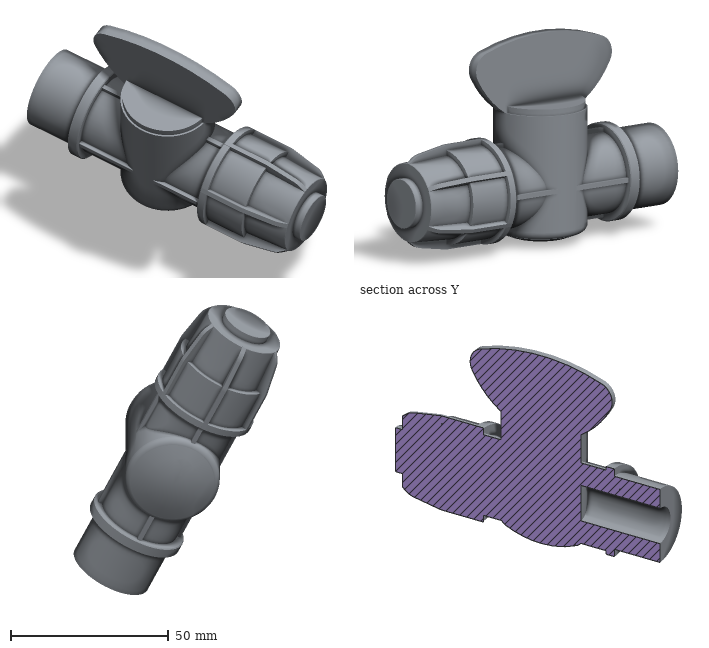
import cadquery as cq
import math


OVERALL_LENGTH = 99.0
OVERALL_HEIGHT = 67.7

SPIGOT_END_X = -44.5
PIPE_DIA = 26.44
BORE_DIA = 12.59

EDGE_CHAMFER = 0.3
FINE_CHAMFER = 0.15

COLLAR_DIA = 31.73
COLLAR_START_X = -27.5
COLLAR_LENGTH = 3.4

PIPE_RIB_RADIUS = 14.57
PIPE_RIB_WIDTH = 1.5
PIPE_RIB_COUNT = 4

STEM_DIA = 30.0
STEM_TOP_Z = 24.6
STEM_BOTTOM_Z = -15.8
STEM_FILLET = 2.4
DOME_DIA = 26.6
DOME_HEIGHT = 2.9
CAP_DIA = 28.8
CAP_HEIGHT = 2.15

HANDLE_THICKNESS = 4.0
HANDLE_TOP_Z = STEM_BOTTOM_Z - DOME_HEIGHT + OVERALL_HEIGHT
HANDLE_TOP_RADIUS = 67.7
HANDLE_TOP_ANGLE = 19.5
HANDLE_CORNER_RADIUS = 6.0
HANDLE_CORNER_LOW_ANGLE = -27.3

NUT_START_X = 21.45
NUT_END_X = 51.9
NUT_FLANGE_DIA = 34.0
NUT_FLANGE_LENGTH = 2.45
NUT_BODY_RADIUS = 15.3
NUT_STEP_X = 37.3
NUT_TAPER_START_RADIUS = 13.6
NUT_TAPER_END_RADIUS = 12.75

GRIP_COUNT = 6
GRIP_WIDTH = 1.5
GRIP_RADIUS = NUT_FLANGE_DIA / 2
GRIP_BEND_X = 37.4
GRIP_NOSE_X = 49.05
GRIP_NOSE_RADIUS = 14.95
GRIP_BLEND_RADIUS = 6.0

TAIL_DIA = 16.0
TAIL_END_X = SPIGOT_END_X + OVERALL_LENGTH


def x_cylinder(diameter, start_x, end_x):
    """Cylinder on the pipe axis between two X positions."""
    return cq.Workplane("YZ", origin=(start_x, 0, 0)).circle(diameter / 2).extrude(end_x - start_x)


def around_pipe(shape, count):
    """Copies of a shape spaced evenly about the pipe axis."""
    copies = cq.Workplane("XY")
    for index in range(count):
        angle = index * 360 / count
        copies = copies.add(shape.rotate((0, 0, 0), (1, 0, 0), angle).vals())
    return copies.combine()


def make_pipe():
    """Solid pipe from the spigot end to the nut, with its collar."""
    pipe = x_cylinder(PIPE_DIA, SPIGOT_END_X, NUT_START_X)
    collar = x_cylinder(COLLAR_DIA, COLLAR_START_X, COLLAR_START_X + COLLAR_LENGTH)
    return pipe.union(collar.faces(">X").chamfer(EDGE_CHAMFER))


def make_pipe_ribs():
    """Thin ribs on four sides of the pipe, running from the collar through the stem to the nut."""
    start_x = COLLAR_START_X + COLLAR_LENGTH / 2
    rib = cq.Workplane("XY").box(
        NUT_START_X - start_x, PIPE_RIB_WIDTH, PIPE_RIB_RADIUS, centered=(False, True, False)
    )
    return around_pipe(rib.translate((start_x, 0, 0)), PIPE_RIB_COUNT)


def make_stem():
    """Upright stem with a rounded, domed bottom and a smaller cap on top."""
    stem = (
        cq.Workplane("XY", origin=(0, 0, STEM_BOTTOM_Z))
        .circle(STEM_DIA / 2)
        .extrude(STEM_TOP_Z - STEM_BOTTOM_Z)
        .faces("<Z")
        .edges()
        .fillet(STEM_FILLET)
    )
    cap = cq.Workplane("XY", origin=(0, 0, STEM_TOP_Z)).circle(CAP_DIA / 2).extrude(CAP_HEIGHT)
    rim = DOME_DIA / 2
    sphere_radius = (rim**2 + DOME_HEIGHT**2) / (2 * DOME_HEIGHT)
    sphere_center_z = STEM_BOTTOM_Z - DOME_HEIGHT + sphere_radius
    half_rim_z = sphere_center_z - math.sqrt(sphere_radius**2 - (rim / 2) ** 2)
    dome = (
        cq.Workplane("XZ")
        .moveTo(0, STEM_BOTTOM_Z)
        .lineTo(rim, STEM_BOTTOM_Z)
        .threePointArc((rim / 2, half_rim_z), (0, STEM_BOTTOM_Z - DOME_HEIGHT))
        .close()
        .revolve(360, (0, 0, 0), (0, 1, 0))
    )
    return stem.union(cap).union(dome)


def make_handle():
    """Flat fan-shaped grip standing on the stem."""
    top_angle = math.radians(HANDLE_TOP_ANGLE)
    low_angle = math.radians(HANDLE_CORNER_LOW_ANGLE)
    shoulder_x = HANDLE_TOP_RADIUS * math.sin(top_angle)
    shoulder_z = HANDLE_TOP_Z - HANDLE_TOP_RADIUS * (1 - math.cos(top_angle))
    corner_x = shoulder_x - HANDLE_CORNER_RADIUS * math.sin(top_angle)
    corner_z = shoulder_z - HANDLE_CORNER_RADIUS * math.cos(top_angle)
    low_x = corner_x + HANDLE_CORNER_RADIUS * math.cos(low_angle)
    low_z = corner_z + HANDLE_CORNER_RADIUS * math.sin(low_angle)
    half = (
        cq.Workplane("XZ", origin=(0, HANDLE_THICKNESS / 2, 0))
        .moveTo(0, HANDLE_TOP_Z)
        .threePointArc(
            (
                HANDLE_TOP_RADIUS * math.sin(top_angle / 2),
                HANDLE_TOP_Z - HANDLE_TOP_RADIUS * (1 - math.cos(top_angle / 2)),
            ),
            (shoulder_x, shoulder_z),
        )
        .threePointArc((corner_x + HANDLE_CORNER_RADIUS, corner_z), (low_x, low_z))
        .tangentArcPoint((STEM_DIA / 2 - low_x, STEM_TOP_Z - low_z))
        .lineTo(0, STEM_TOP_Z)
        .close()
        .extrude(HANDLE_THICKNESS)
    )
    return half.union(half.mirror("YZ"))


def make_nut():
    """Flanged nut with a stepped, tapering body and flat-topped grip ribs."""
    flange = x_cylinder(NUT_FLANGE_DIA, NUT_START_X, NUT_START_X + NUT_FLANGE_LENGTH)
    flange = flange.faces("<X").chamfer(EDGE_CHAMFER)
    body = (
        cq.Workplane("XY")
        .moveTo(NUT_START_X + NUT_FLANGE_LENGTH / 2, 0)
        .lineTo(NUT_START_X + NUT_FLANGE_LENGTH / 2, NUT_BODY_RADIUS)
        .lineTo(NUT_STEP_X, NUT_BODY_RADIUS)
        .lineTo(NUT_STEP_X, NUT_TAPER_START_RADIUS)
        .lineTo(NUT_END_X, NUT_TAPER_END_RADIUS)
        .lineTo(NUT_END_X, 0)
        .close()
        .revolve(360, (0, 0, 0), (1, 0, 0))
        .faces(">X")
        .chamfer(FINE_CHAMFER)
    )
    grip = (
        cq.Workplane("XZ", origin=(0, GRIP_WIDTH / 2, 0))
        .moveTo(NUT_START_X + EDGE_CHAMFER, 0)
        .lineTo(NUT_START_X + EDGE_CHAMFER, GRIP_RADIUS)
        .lineTo(GRIP_BEND_X, GRIP_RADIUS)
        .lineTo(GRIP_NOSE_X, GRIP_NOSE_RADIUS)
        .lineTo(NUT_END_X, NUT_TAPER_END_RADIUS)
        .lineTo(NUT_END_X, 0)
        .close()
        .extrude(GRIP_WIDTH)
    )
    for bend_x, bend_z in ((GRIP_BEND_X, GRIP_RADIUS), (GRIP_NOSE_X, GRIP_NOSE_RADIUS)):
        bend = cq.selectors.NearestToPointSelector((bend_x, 0, bend_z))
        grip = grip.edges("|Y").edges(bend).fillet(GRIP_BLEND_RADIUS)
    return flange.union(body).union(around_pipe(grip, GRIP_COUNT))


def make_tail():
    """Plain sleeve leaving the nut."""
    tail = x_cylinder(TAIL_DIA, NUT_END_X, TAIL_END_X)
    return tail.faces(">X").chamfer(FINE_CHAMFER)


bore = x_cylinder(BORE_DIA, SPIGOT_END_X, 0)

result = (
    make_pipe()
    .union(make_pipe_ribs())
    .cut(bore)
    .union(make_stem())
    .union(make_handle())
    .union(make_nut())
    .union(make_tail())
)